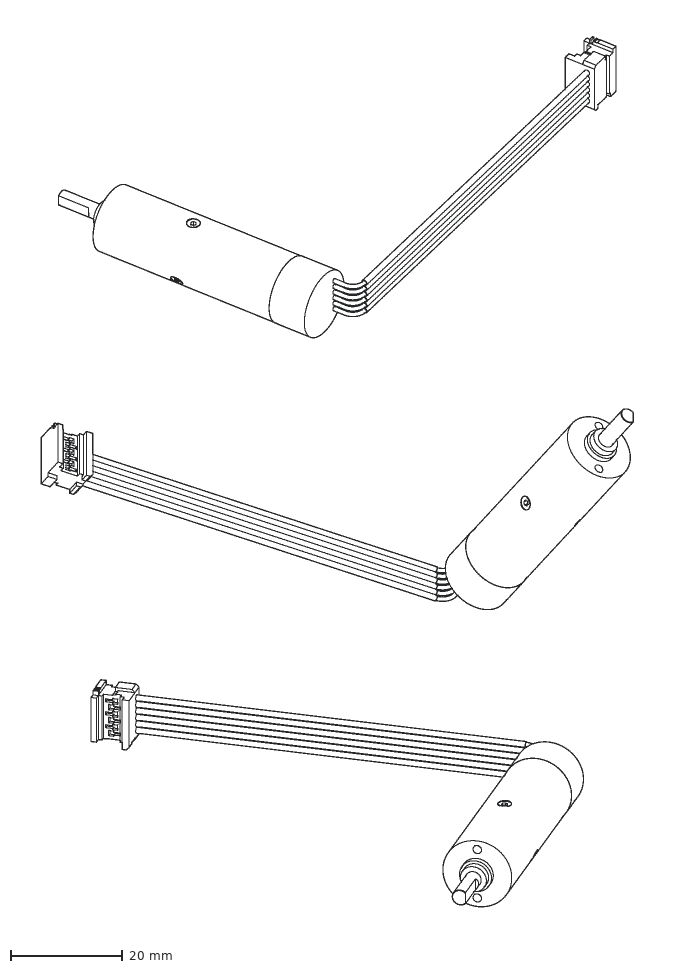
import cadquery as cq
import math

overall_length_y = 92.3
motor_diameter = 13.0
gearbox_length = 37.8
motor_length = 7.6
body_length = gearbox_length + motor_length
gearbox_diameter = 12.9

collar_diameter = 6.0
collar_length = 1.1
hub_diameter = 4.9
hub_tip = 2.5
shaft_diameter = 2.95
shaft_tip = 11.0
shaft_chamfer = 0.1
flat_length = 6.5
flat_depth = 0.5
flat_runout = 0.4

mount_hole_diameter = 1.6
mount_hole_depth = 2.8
mount_hole_spacing = 9.5
drill_tip_slope = 0.6

set_screw_x = 17.3
set_screw_angles = (90, 210, 330)
set_screw_diameter = 2.5
set_screw_recess = 0.2
recess_clearance = 0.9
socket_diameter = 1.1
socket_depth = 0.9
socket_sides = 6

wire_count = 6
wire_row_span = 6.4
wire_pitch = wire_row_span / (wire_count - 1)
bend_wire_diameter = 0.8
run_wire_diameter = 1.1
exit_y = 3.2
bend_radius = 2.5
run_x = 50.3
embed = 0.5

conn_left = 45.6
conn_right = 51.85
conn_near = 78.6
conn_far = overall_length_y - motor_diameter / 2
waist_left = 47.6
step_left = 46.8
tower_left = 49.3
core_half_height = 4.3
plate_half_height = 4.6
conn_half_height = 5.2
near_plate_thickness = 1.3
step_length = 0.7
flange_thickness = 1.0
base_tab_length = 1.8
corner_tab_right = 47.2
split_y = 82.3
plate_far = 81.7
neck_half_height = 4.4
cap_chamfer = 0.55
notch_depth = 0.6
notch_near = 82.7
notch_far = 83.6
slit_left = 47.1
slit_floor = 0.2
slit_width = 0.5
groove_left = 47.9
groove_width = 0.55
groove_depth = 0.1

contact_height = 0.55
contact_head_height = 1.0
contact_head_length = 0.9
contact_depth = 0.7
contact_length = 2.2
contact_near_ends = (80.8, 81.4)


def x_cylinder(diameter, start, end):
    return cq.Workplane("YZ").workplane(offset=start).circle(diameter / 2).extrude(end - start)


def block(x_range, y_range, z_range):
    lows = [r[0] for r in (x_range, y_range, z_range)]
    sizes = [r[1] - r[0] for r in (x_range, y_range, z_range)]
    return cq.Workplane("XY").box(*sizes, centered=False).translate(tuple(lows))


def mount_hole():
    radius = mount_hole_diameter / 2
    tip_x = mount_hole_depth + radius * drill_tip_slope
    return (
        cq.Workplane("XY")
        .polyline([(0, 0), (0, radius), (mount_hole_depth, radius), (tip_x, 0)])
        .close().revolve(360, (0, 0, 0), (1, 0, 0))
    )


def make_body():
    body = x_cylinder(gearbox_diameter, 0, gearbox_length)
    body = body.union(x_cylinder(motor_diameter, gearbox_length, body_length))
    body = body.union(x_cylinder(collar_diameter, -collar_length, 0))
    body = body.union(x_cylinder(hub_diameter, -hub_tip, 0))
    for z in (mount_hole_spacing / 2, -mount_hole_spacing / 2):
        body = body.cut(mount_hole().translate((0, 0, z)))
    return body


def make_shaft():
    shaft = x_cylinder(shaft_diameter, -shaft_tip, 0).faces("<X").chamfer(shaft_chamfer)
    radius = shaft_diameter / 2
    flat_end = -shaft_tip + flat_length
    flat = (
        cq.Workplane("XY")
        .polyline([
            (-shaft_tip, -radius),
            (flat_end + flat_runout, -radius),
            (flat_end, -radius + flat_depth),
            (-shaft_tip, -radius + flat_depth),
        ])
        .close().extrude(radius, both=True)
    )
    return shaft.cut(flat)


def set_screw_cut(angle):
    floor = gearbox_diameter / 2 - set_screw_recess
    recess = (
        cq.Workplane("XY").workplane(offset=floor)
        .circle(set_screw_diameter / 2).extrude(recess_clearance)
    )
    socket = (
        cq.Workplane("XY").workplane(offset=floor - socket_depth)
        .polygon(socket_sides, socket_diameter).extrude(socket_depth)
    )
    cut = recess.union(socket).translate((set_screw_x, 0, 0))
    return cut.rotate((0, 0, 0), (1, 0, 0), angle - 90)


def make_wire(z):
    bend_start_x = run_x - bend_radius
    bend_end_y = exit_y + bend_radius
    mid = bend_radius * math.sqrt(0.5)
    path = (
        cq.Workplane("XY", origin=(0, 0, z))
        .moveTo(body_length - embed, exit_y)
        .lineTo(bend_start_x, exit_y)
        .threePointArc((bend_start_x + mid, bend_end_y - mid), (run_x, bend_end_y))
    )
    bend = (
        cq.Workplane("YZ", origin=(body_length - embed, exit_y, z))
        .circle(bend_wire_diameter / 2).sweep(path)
    )
    run = (
        cq.Workplane("XZ", origin=(run_x, bend_end_y, z))
        .circle(run_wire_diameter / 2).extrude(-(conn_near + embed - bend_end_y))
    )
    return bend.union(run)


def make_connector():
    core = (-core_half_height, core_half_height)
    plate_y = conn_near + near_plate_thickness
    step_y = plate_y + step_length
    flange_y = conn_far - flange_thickness
    conn = block((waist_left, conn_right), (conn_near, conn_far), core)
    conn = conn.union(block((step_left, conn_right), (plate_y, step_y), core))
    conn = conn.union(block((step_left, conn_right), (flange_y - step_length, flange_y), core))
    conn = conn.union(block((conn_left, conn_right), (flange_y, conn_far), core))

    plate_z = (-core_half_height, plate_half_height)
    conn = conn.union(block((conn_left, conn_right), (conn_near, plate_y), plate_z))
    conn = conn.union(block((step_left, conn_right), (plate_y, step_y), plate_z))
    conn = conn.union(block((waist_left, conn_right), (step_y, plate_far), plate_z))
    neck_z = (-core_half_height, neck_half_height)
    conn = conn.union(block((waist_left, conn_right), (plate_far, split_y), neck_z))
    tower = block((tower_left, conn_right), (conn_near, split_y), (0, conn_half_height))
    conn = conn.union(tower.edges("<Y and >Z").chamfer(cap_chamfer))
    for x_range in ((conn_left, corner_tab_right), (tower_left, conn_right)):
        near_tab = block(x_range, (conn_near, plate_y), (-conn_half_height, 0))
        conn = conn.union(near_tab.edges("<Y and <Z").chamfer(cap_chamfer))
    far_tab = block((tower_left, conn_right), (conn_far - base_tab_length, conn_far), (-conn_half_height, 0))
    conn = conn.union(far_tab)

    rail = block((step_left, conn_right), (flange_y, conn_far), (0, conn_half_height))
    slit = (
        cq.Workplane("XZ", origin=(0, conn_far, 0))
        .polyline([
            (slit_left, core_half_height),
            (slit_left, conn_half_height),
            (slit_left + slit_width, conn_half_height),
            (slit_left + slit_floor, core_half_height),
        ])
        .close().extrude(flange_thickness)
    )
    groove = block((groove_left, groove_left + groove_width), (flange_y, conn_far),
                   (conn_half_height - groove_depth, conn_half_height))
    conn = conn.union(rail).cut(slit).cut(groove)

    notch = block((conn_right - notch_depth, conn_right), (notch_near, notch_far),
                  (-conn_half_height, conn_half_height))
    return conn.cut(notch)


def contact_slot(index, z):
    near = contact_near_ends[index % 2]
    far = near + contact_length
    head_near = far - contact_head_length if index % 2 == 0 else near
    depth_range = (waist_left, waist_left + contact_depth)
    slot = block(depth_range, (near, far), (z - contact_height / 2, z + contact_height / 2))
    head_half = contact_head_height / 2
    head = block(depth_range, (head_near, head_near + contact_head_length), (z - head_half, z + head_half))
    return slot.union(head)


wire_heights = [(i - (wire_count - 1) / 2) * wire_pitch for i in range(wire_count)]

result = make_body().union(make_shaft())
for screw_angle in set_screw_angles:
    result = result.cut(set_screw_cut(screw_angle))
connector = make_connector()
for number, height in enumerate(wire_heights):
    connector = connector.cut(contact_slot(number, height))
result = result.union(connector)
for height in wire_heights:
    result = result.union(make_wire(height))